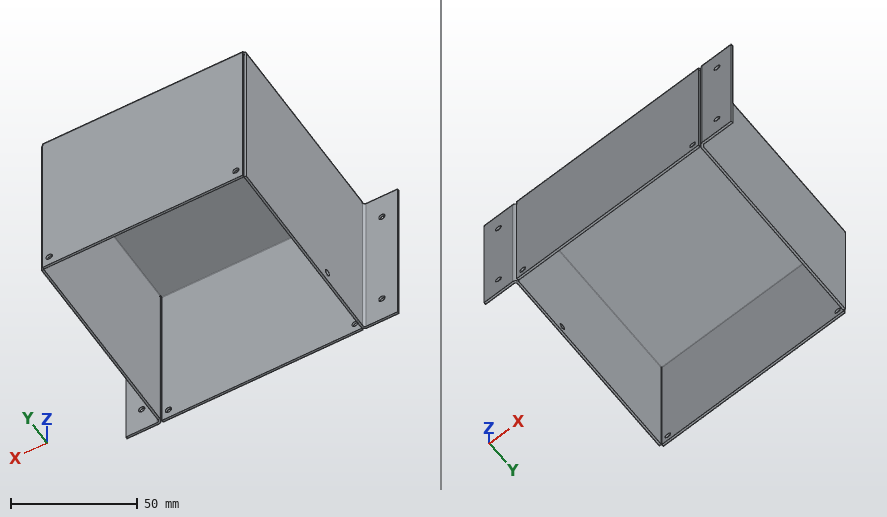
import cadquery as cq

flange_span = 125.3
box_depth = 92.7
box_height = 77.2
box_width = 94.3

sheet = 1.0
top_bend_inner = 0.1
top_bend_outer = top_bend_inner + sheet
flange_bend_inner = 1.0
flange_bend_outer = flange_bend_inner + sheet

hole_diameter = 2.8
flange_hole_spacing_x = 110.7
flange_hole_spacing_z = 50.6
panel_hole_spacing = 86.0
panel_hole_height = 4.8
side_hole_height = 4.8
side_hole_setback = 29.0

front = -box_depth / 2
wall_height = box_height - top_bend_outer
plate_width = box_width - 2 * top_bend_outer
plate_depth = box_depth - 2 * top_bend_outer
side_front = front + flange_bend_outer
side_back = plate_depth / 2


def folded_panel(offset, near, far):
    """Panel folded down from the top plate, facing +X at the given offset, from near to far in Y."""
    bend_start = offset - top_bend_outer
    profile = (
        cq.Workplane("XZ", origin=(0, far, 0))
        .moveTo(offset, 0)
        .lineTo(offset, wall_height)
        .radiusArc((bend_start, box_height), -top_bend_outer)
        .lineTo(bend_start, box_height - sheet)
        .radiusArc((offset - sheet, wall_height), top_bend_inner)
        .lineTo(offset - sheet, 0)
        .close()
    )
    return profile.extrude(far - near)


def flange():
    """Mounting flange on the +X side, folded outward from the front edge of the side wall."""
    wall_outer = box_width / 2
    bend_x = wall_outer + flange_bend_inner
    profile = (
        cq.Workplane("XY")
        .moveTo(wall_outer - sheet, side_front)
        .radiusArc((bend_x, front), -flange_bend_outer)
        .lineTo(flange_span / 2, front)
        .lineTo(flange_span / 2, front + sheet)
        .lineTo(bend_x, front + sheet)
        .radiusArc((wall_outer, side_front), flange_bend_inner)
        .close()
    )
    return profile.extrude(wall_height)


def top_plate():
    return cq.Workplane("XY", origin=(0, 0, box_height - sheet)).rect(plate_width, plate_depth).extrude(sheet)


def flange_holes():
    return (
        cq.Workplane("XZ", origin=(0, front + sheet, wall_height / 2))
        .rect(flange_hole_spacing_x, flange_hole_spacing_z, forConstruction=True)
        .vertices()
        .circle(hole_diameter / 2)
        .extrude(sheet)
    )


def panel_holes():
    """Pair of holes running through both the front and the back panel."""
    return (
        cq.Workplane("XZ", origin=(0, box_depth / 2, panel_hole_height))
        .pushPoints([(-panel_hole_spacing / 2, 0), (panel_hole_spacing / 2, 0)])
        .circle(hole_diameter / 2)
        .extrude(box_depth)
    )


def side_hole():
    """Single hole in the -X side wall only."""
    return (
        cq.Workplane("YZ", origin=(-box_width / 2, front + side_hole_setback, side_hole_height))
        .circle(hole_diameter / 2)
        .extrude(sheet)
    )


side_wall = folded_panel(box_width / 2, side_front, side_back).union(flange())
end_panel = folded_panel(box_depth / 2, -plate_width / 2, plate_width / 2)
back_panel = end_panel.rotate((0, 0, 0), (0, 0, 1), 90)
body = (
    top_plate()
    .union(side_wall)
    .union(side_wall.mirror("YZ"))
    .union(back_panel)
    .union(back_panel.mirror("XZ"))
)

result = body.cut(flange_holes()).cut(panel_holes()).cut(side_hole())